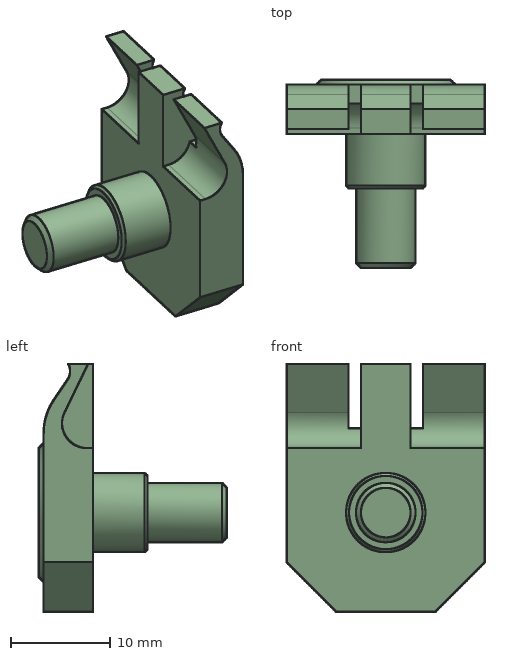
import cadquery as cq
import math


plate_width = 20.0
plate_thickness = 5.0
plate_top = 15.0
plate_bottom = -10.0
corner_chamfer = 5.0

shoulder_radius = 6.0
shoulder_start_z = 8.0
lip_radius = 1.5
lip_thickness = 2.32
lip_center_z = 14.25

groove_radius = 2.5
groove_center_y = 0.62
groove_bottom_z = 6.5
hook_tip_thickness = 0.5

tab_width = 5.0
slot_width = 1.25
slot_depth = 6.5

boss_radius = 4.0
boss_length = 5.5
boss_chamfer = 0.3
pin_radius = 3.0
pin_length = 13.5
pin_chamfer = 0.5
disc_radius = 7.0
disc_height = 0.5


def polar(center, radius, angle):
    """Point at the given radius and angle (radians) from a centre."""
    return (center[0] + radius * math.cos(angle), center[1] + radius * math.sin(angle))


def extrude_across(profile, x_start, x_end):
    """Extrude a closed YZ profile from x_start to x_end."""
    return profile.extrude(x_end - x_start).translate((x_start, 0, 0))


def make_plate():
    """Plate with a curved upper back and cut lower corners."""
    shoulder_center = (plate_thickness - shoulder_radius, shoulder_start_z)
    lip_center = (lip_thickness + lip_radius, lip_center_z)

    dy = lip_center[0] - shoulder_center[0]
    dz = lip_center[1] - shoulder_center[1]
    slope_normal = math.atan2(dz, dy) - math.acos((shoulder_radius + lip_radius) / math.hypot(dy, dz))
    lip_end_angle = math.pi - math.asin((plate_top - lip_center_z) / lip_radius)

    profile = (
        cq.Workplane("YZ")
        .moveTo(0, plate_bottom)
        .lineTo(plate_thickness, plate_bottom)
        .lineTo(plate_thickness, shoulder_start_z)
        .threePointArc(
            polar(shoulder_center, shoulder_radius, slope_normal / 2),
            polar(shoulder_center, shoulder_radius, slope_normal),
        )
        .lineTo(*polar(lip_center, -lip_radius, slope_normal))
        .threePointArc(
            polar(lip_center, lip_radius, math.pi),
            polar(lip_center, lip_radius, lip_end_angle),
        )
        .lineTo(0, plate_top)
        .close()
    )
    plate = extrude_across(profile, -plate_width / 2, plate_width / 2)
    return plate.edges("|Y and <Z").chamfer(corner_chamfer)


def make_groove(x_start, x_end):
    """Front hook groove, open at the front and at the top."""
    center = (groove_center_y, groove_bottom_z + groove_radius)

    dy = hook_tip_thickness - center[0]
    dz = plate_top - center[1]
    tangent_angle = math.atan2(dz, dy) - math.acos(groove_radius / math.hypot(dy, dz))

    profile = (
        cq.Workplane("YZ")
        .moveTo(0, plate_top)
        .lineTo(hook_tip_thickness, plate_top)
        .lineTo(*polar(center, groove_radius, tangent_angle))
        .threePointArc(
            polar(center, groove_radius, (tangent_angle - math.pi / 2) / 2),
            polar(center, groove_radius, -math.pi / 2),
        )
        .lineTo(0, groove_bottom_z)
        .close()
    )
    return extrude_across(profile, x_start, x_end)


def make_slot(x_start, x_end):
    """Slot through the plate thickness, open at the top."""
    return (
        cq.Workplane("XY", origin=(x_start, 0, plate_top - slot_depth))
        .box(x_end - x_start, plate_thickness, slot_depth, centered=False)
    )


def make_disc():
    """Raised disc tapering at 45 degrees over its whole height."""
    return (
        cq.Workplane("XZ", origin=(0, plate_thickness, 0))
        .circle(disc_radius)
        .extrude(-disc_height, taper=45)
    )


def make_rod(radius, length, end_chamfer):
    """Round rod standing on the front face, with a chamfered end."""
    return cq.Workplane("XZ").circle(radius).extrude(length).faces("<Y").chamfer(end_chamfer)


result = make_plate()

tab_side = tab_width / 2
slot_side = tab_side + slot_width
result = result.cut(make_groove(tab_side, plate_width / 2))
result = result.cut(make_groove(-plate_width / 2, -tab_side))
result = result.cut(make_slot(tab_side, slot_side))
result = result.cut(make_slot(-slot_side, -tab_side))

result = result.union(make_rod(boss_radius, boss_length, boss_chamfer))
result = result.union(make_rod(pin_radius, pin_length, pin_chamfer))
result = result.union(make_disc())